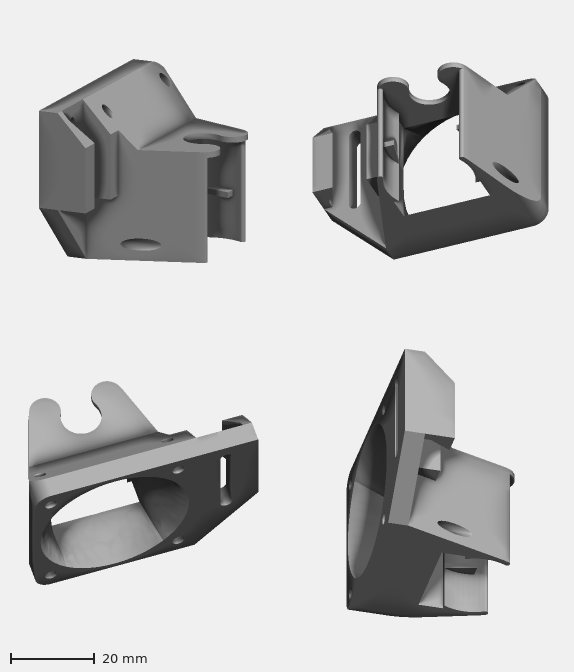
import math

import cadquery as cq


plate_thick = 5.0
height = 40.0
half_fan = height / 2
plate_length = 56.0
plate_tail = half_fan - plate_length
corner_radius = 4.0
tail_chamfer = 16.0

fan_opening_radius = 18.65
screw_pitch = 32.0
screw_dia = 3.0
slot_y = -28.0
slot_width = 3.0
slot_bottom = 14.0
slot_top = 37.0

outer_length = 34.23
wall = 1.4
clip_inner = 11.1
clip_outer = clip_inner + wall
clip_mid = clip_inner + wall / 2
neck_radius = 4.9
clip_angle = math.radians(63.4)

finger_radius = (clip_outer - neck_radius) / 2
finger_orbit = (clip_outer + neck_radius) / 2
clip_x = outer_length - finger_radius - finger_orbit * math.cos(clip_angle)

duct_width = 22.26
duct_height = 26.0
taper_length = 15.5
roof_top = duct_height + wall
slope_end_x = 16.8
lip_x = clip_x - clip_inner * math.cos(clip_angle)

tab_bottom = 11.0
tab_height = wall
tab_tip_y = 8.1
tab_lean = math.radians(13.5)

dock_x = 12.35
dock_bottom = tail_chamfer
block_y = -22.0
hook_root_y = -33.8
hook_tip_y = -30.85
hook_ramp_x = 7.0


def on_clip(radius, angle, side=1):
    """Point at a radius and angle from +X about the clip axis, on the +Y or -Y side."""
    return (clip_x + radius * math.cos(angle), side * radius * math.sin(angle))


def disc(center, radius, bottom, top):
    return cq.Workplane("XY", origin=(*center, bottom)).circle(radius).extrude(top - bottom)


def prism(points, bottom, top):
    return cq.Workplane("XY", origin=(0, 0, bottom)).polyline(points).close().extrude(top - bottom)


def tangent_angle():
    """Angle about the clip axis where the duct side, starting at the plate corner, meets the ring."""
    dx = plate_thick - clip_x
    dy = half_fan
    return math.atan2(dy, dx) - math.acos(clip_outer / math.hypot(dx, dy))


def plan_body():
    """Tapered duct sides running tangent into the ring, with the ring and neck still solid."""
    touch = tangent_angle()
    tx, ty = on_clip(clip_outer, touch)
    ex, ey = on_clip(clip_outer, clip_angle)
    mx, my = on_clip(clip_outer, (touch + clip_angle) / 2)
    return (
        cq.Workplane("XY")
        .moveTo(0, -half_fan)
        .lineTo(plate_thick, -half_fan)
        .lineTo(tx, -ty)
        .threePointArc((mx, -my), (ex, -ey))
        .lineTo(clip_x, 0)
        .lineTo(ex, ey)
        .threePointArc((mx, my), (tx, ty))
        .lineTo(plate_thick, half_fan)
        .lineTo(0, half_fan)
        .close()
        .extrude(height)
    )


def rounded_ends(orbit, radius, bottom, top):
    """Upright discs at both mouth ends of the clip, at a given distance from its axis."""
    first = disc(on_clip(orbit, clip_angle), radius, bottom, top)
    return first.union(disc(on_clip(orbit, clip_angle, -1), radius, bottom, top))


def dock():
    """Block on the duct side and ramped hook on the plate tail, facing each other."""
    block = prism(
        [(0, 0), (dock_x, 0), (dock_x, block_y), (0, block_y)],
        dock_bottom,
        height,
    )
    hook = prism(
        [
            (0, plate_tail),
            (dock_x, plate_tail),
            (dock_x, hook_tip_y),
            (hook_ramp_x, hook_root_y),
            (0, hook_root_y),
        ],
        dock_bottom,
        height,
    )
    return block.union(hook)


def slab(thickness):
    """Block with the plate's length and height, starting at the fan face."""
    block = cq.Workplane("XY", origin=(0, plate_tail, 0))
    return block.box(thickness, plate_length, height, centered=False)


def plate():
    return slab(plate_thick)


def end_outline():
    """Outline seen along X: rounded corners at +Y, one chamfered corner on the tail."""
    block = slab(outer_length)
    block = block.edges("|X and >Y").fillet(corner_radius)
    return block.edges("|X and <Y and <Z").chamfer(tail_chamfer)


def side_outline():
    """Outline seen along Y: full height at the plate, sloping down to the duct roof."""
    return (
        cq.Workplane("XZ", origin=(0, half_fan, 0))
        .polyline(
            [
                (0, 0),
                (outer_length, 0),
                (outer_length, roof_top),
                (slope_end_x, roof_top),
                (plate_thick, height),
                (0, height),
            ]
        )
        .close()
        .extrude(plate_length)
    )


def duct_taper():
    """Passage blending from the round fan opening to the rectangular duct."""
    corner = math.atan2(duct_height, duct_width)
    splits = [corner, math.pi - corner, math.pi + corner, 2 * math.pi - corner]

    def rim(angle):
        return (fan_opening_radius * math.cos(angle), fan_opening_radius * math.sin(angle))

    opening = cq.Workplane("YZ", origin=(0, 0, half_fan)).moveTo(*rim(splits[0]))
    for start, end in zip(splits, splits[1:] + [splits[0] + 2 * math.pi]):
        opening = opening.threePointArc(rim((start + end) / 2), rim(end))
    opening = opening.close()

    half = duct_width / 2
    outlet = (
        cq.Workplane("YZ", origin=(taper_length, 0, 0))
        .polyline([(half, duct_height), (-half, duct_height), (-half, 0), (half, 0)])
        .close()
    )
    return cq.Workplane(cq.Solid.makeLoft([opening.val(), outlet.val()], True))


def duct_straight():
    """Rectangular passage, open underneath, from the taper to the lips of the clip."""
    passage = cq.Workplane("XY", origin=(taper_length, 0, 0))
    return passage.box(lip_x - taper_length, duct_width, duct_height, centered=(False, True, False))


def clip_bore():
    """Heat sink bore under the roof, open to the duct at the lips."""
    return disc((clip_x, 0), clip_inner, 0, duct_height)


def neck_notch():
    """Round notch in the roof between the two fingers."""
    return disc((clip_x, 0), neck_radius, 0, height)


def screw_holes():
    return (
        cq.Workplane("YZ", origin=(0, 0, half_fan))
        .rect(screw_pitch, screw_pitch, forConstruction=True)
        .vertices()
        .circle(screw_dia / 2)
        .extrude(outer_length)
    )


def mounting_slot():
    return (
        cq.Workplane("YZ", origin=(0, slot_y, (slot_bottom + slot_top) / 2))
        .slot2D(slot_top - slot_bottom, slot_width, 90)
        .extrude(plate_thick)
    )


def tab(side):
    """Small catch in the ring wall whose inner face leans inward, away from the fan."""
    root_x, root_y = on_clip(clip_inner, math.pi - clip_angle)
    tip_x = root_x + (root_y - tab_tip_y) / math.tan(tab_lean)
    points = [
        (root_x, root_y),
        (tip_x, tab_tip_y),
        (tip_x, clip_inner),
        (root_x, clip_inner),
    ]
    return prism([(x, side * y) for x, y in points], tab_bottom, tab_bottom + tab_height)


body = plan_body().union(rounded_ends(finger_orbit, finger_radius, duct_height, roof_top))
body = body.union(dock()).union(plate())
body = body.intersect(end_outline()).intersect(side_outline())
body = body.cut(duct_taper()).cut(duct_straight()).cut(clip_bore())
body = body.cut(neck_notch())
body = body.union(rounded_ends(clip_mid, wall / 2, 0, roof_top))
body = body.cut(screw_holes()).cut(mounting_slot())
result = body.union(tab(1)).union(tab(-1))